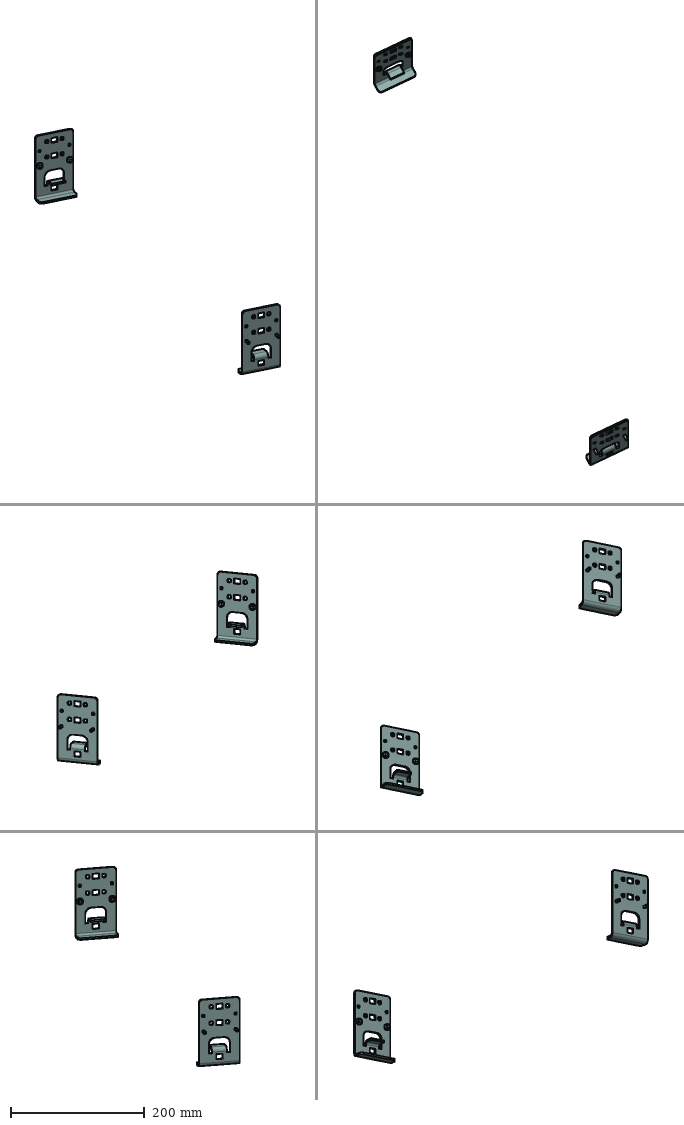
import cadquery as cq

TOTAL_LENGTH = 725.5
PLATE_SPAN = 707.0
PLATE_WIDTH = 63.0
PLATE_HEIGHT = 105.0
SHEET = 3.0
BEND_RADIUS = 3.3
CORNER_RADIUS = 5.0

FLANGE_LENGTH = 19.0
TAB_LENGTH = 17.0
TAB_WIDTH = 23.0
TAB_TOP = 29.0

WINDOW_WIDTH = 33.0
WINDOW_BOTTOM = 20.0
WINDOW_TOP = 44.0
WINDOW_CORNER_RADIUS = 9.5

CENTRE_HOLE_WIDTH = 10.0
CENTRE_HOLE_SIZE_Z = 8.0
CENTRE_HOLE_CORNER = 1.5
LOW_HOLE_HEIGHT = 14.5
MIDDLE_HOLE_HEIGHT = 67.5
TOP_HOLE_HEIGHT = 93.0
FLANK_HOLE_DIAMETER = 6.0
FLANK_HOLE_SPACING = 25.5
SIDE_HOLE_DIAMETER = 4.0
SIDE_HOLE_SPACING = 50.0
SPARE_HOLE_HEIGHT = 80.0
PIN_HEIGHT = 56.0

HEAD_DIAMETER = 9.5
HEAD_THICKNESS = 4.0
HEAD_CHAMFER = 2.0
TIP_CHAMFER = 1.1

PLATE_OUTER_X = -PLATE_SPAN / 2
PLATE_INNER_X = PLATE_OUTER_X + SHEET
OUTER_BEND_RADIUS = BEND_RADIUS + SHEET


def block(x_start, x_end, width, z_start, z_end):
    """Box centred on Y = 0 between the given X and Z limits."""
    return cq.Workplane("XY").box(
        x_end - x_start, width, z_end - z_start, centered=(False, True, False)
    ).translate((x_start, 0, z_start))


def cylinder(diameter, x_start, x_end, y, z):
    """Cylinder along X."""
    return (
        cq.Workplane("YZ", origin=(x_start, y, z))
        .circle(diameter / 2)
        .extrude(x_end - x_start)
    )


def angle_strip(length, width, leg_height):
    """Upright sheet leg from Z = leg_height down to a bend at Z = 0, then a leg inward along +X."""
    strip = block(PLATE_OUTER_X, PLATE_OUTER_X + length, width, 0, leg_height).cut(
        block(PLATE_INNER_X, PLATE_OUTER_X + length, width, SHEET, leg_height)
    )
    outer_corner = cq.selectors.NearestToPointSelector((PLATE_OUTER_X, 0, 0))
    inner_corner = cq.selectors.NearestToPointSelector((PLATE_INNER_X, 0, SHEET))
    strip = strip.edges(outer_corner).fillet(OUTER_BEND_RADIUS)
    return strip.edges(inner_corner).fillet(BEND_RADIUS)


def flanged_plate():
    """Plate with the bottom flange, all four free corners rounded."""
    plate = angle_strip(FLANGE_LENGTH, PLATE_WIDTH, PLATE_HEIGHT)
    plate = plate.faces(">Z").edges("|X").fillet(CORNER_RADIUS)
    return plate.faces(">X").edges("|Z").fillet(CORNER_RADIUS)


def window_cutter():
    """Opening left by the tab, with rounded upper corners."""
    window = block(PLATE_OUTER_X, PLATE_INNER_X, WINDOW_WIDTH, WINDOW_BOTTOM, WINDOW_TOP)
    return window.faces(">Z").edges("|X").fillet(WINDOW_CORNER_RADIUS)


def tab():
    """Tab rising from the window's lower edge and bent inward."""
    upside_down = angle_strip(TAB_LENGTH, TAB_WIDTH, TAB_TOP - WINDOW_BOTTOM)
    return upside_down.mirror("XY").translate((0, 0, TAB_TOP))


def centre_hole_cutter(z):
    """Rounded rectangular opening on the centreline."""
    half_height = CENTRE_HOLE_SIZE_Z / 2
    opening = block(PLATE_OUTER_X, PLATE_INNER_X, CENTRE_HOLE_WIDTH, z - half_height, z + half_height)
    return opening.edges("|X").fillet(CENTRE_HOLE_CORNER)


def round_hole_places():
    """Diameter, Y and Z of every round hole in the plate."""
    places = []
    for side in (-1, 1):
        for z in (MIDDLE_HOLE_HEIGHT, TOP_HOLE_HEIGHT):
            places.append((FLANK_HOLE_DIAMETER, side * FLANK_HOLE_SPACING / 2, z))
        for z in (SPARE_HOLE_HEIGHT, PIN_HEIGHT):
            places.append((SIDE_HOLE_DIAMETER, side * SIDE_HOLE_SPACING / 2, z))
    return places


def bracket():
    """Bracket at the -X end."""
    body = flanged_plate().cut(window_cutter()).union(tab())
    for z in (LOW_HOLE_HEIGHT, MIDDLE_HOLE_HEIGHT, TOP_HOLE_HEIGHT):
        body = body.cut(centre_hole_cutter(z))
    for diameter, y, z in round_hole_places():
        body = body.cut(cylinder(diameter, PLATE_OUTER_X, PLATE_INNER_X, y, z))
    return body


def pin(side):
    """Pin of the -X bracket: shank outward through a side hole, chamfered head on the inner face."""
    y = side * SIDE_HOLE_SPACING / 2
    shank = cylinder(SIDE_HOLE_DIAMETER, -TOTAL_LENGTH / 2, PLATE_INNER_X, y, PIN_HEIGHT)
    shank = shank.faces("<X").chamfer(TIP_CHAMFER)
    head = cylinder(HEAD_DIAMETER, PLATE_INNER_X, PLATE_INNER_X + HEAD_THICKNESS, y, PIN_HEIGHT)
    head = head.faces(">X").chamfer(HEAD_CHAMFER)
    return shank.union(head)


end_bodies = [bracket(), pin(-1), pin(1)]
bodies = []
for body in end_bodies:
    bodies.append(body.val())
    bodies.append(body.mirror("YZ").val())

result = cq.Compound.makeCompound(bodies)